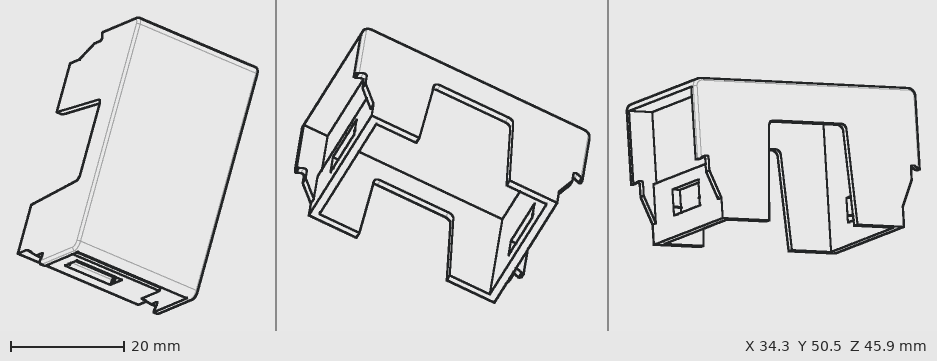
import cadquery as cq
import math

WIDTH = 24.75
LENGTH = 45.0
DEPTH = 25.15
SIDE_WALL = 1.2
END_WALL = 1.5
INNER_WIDTH = WIDTH - 2 * SIDE_WALL

TILT_ABOUT_Y = 33.0
TILT_ABOUT_X = 20.0

CAP_THICKNESS = 1.75
CAP_END_RADIUS = 1.5
CAP_OVERHANG_THICKNESS = CAP_END_RADIUS
SIDE_EDGE_RADIUS = 0.5

LEG_HALF_LENGTH = 18.4
SHOULDER_HALF_LENGTH = 20.5
WING_Z = -14.6
HOOK_TIP_LENGTH = 0.4
NOTCH_TOP_Z = -13.65
NOTCH_RADIUS = 0.45
SHOULDER_Z = -16.7
TAPER_END_Z = -21.55

CUTOUT_TOP_Z = -7.15
CUTOUT_HALF_TOP = 7.8
CUTOUT_HALF_BOTTOM = 8.95
CUTOUT_RADIUS = 1.1

END_OUTER_Y = LEG_HALF_LENGTH
END_INNER_Y = LEG_HALF_LENGTH - END_WALL
LEDGE_Z = -14.5
LEDGE_DEPTH = 0.6

WINDOW_WIDTH = 9.3
WINDOW_TOP_Z = -16.75
WINDOW_BOTTOM_Z = -21.4
SILL_DEPTH = 0.9
SILL_RISE = SILL_DEPTH * math.tan(math.radians(15.0))
RIB_Z = -19.95
RIB_HEIGHT = 0.3
RIB_RISE = RIB_HEIGHT * math.tan(math.radians(30.0))

PICK_MARGIN = 0.05


def box(x_size, y_range, z_range):
    """Box centred on x = 0, spanning the given y and z ranges."""
    y_low, y_high = y_range
    z_low, z_high = z_range
    return (
        cq.Workplane("XY")
        .box(x_size, y_high - y_low, z_high - z_low, centered=(True, False, False))
        .translate((0, y_low, z_low))
    )


def extrude_across(points, width):
    """Closed outline of (y, z) points, extruded symmetrically across the width."""
    return cq.Workplane("YZ").polyline(points).close().extrude(width / 2, both=True)


def mirrored(half):
    """Outline made of the given points on the +y side and their reflections."""
    return half + [(-y, z) for y, z in reversed(half)]


def make_outer_block():
    """Solid with the side wall outline and rounded cap edges."""
    half_outline = [
        (LENGTH / 2, 0),
        (LENGTH / 2, WING_Z),
        (LENGTH / 2 - HOOK_TIP_LENGTH, WING_Z),
        (SHOULDER_HALF_LENGTH, NOTCH_TOP_Z),
        (SHOULDER_HALF_LENGTH, SHOULDER_Z),
        (LEG_HALF_LENGTH, TAPER_END_Z),
        (LEG_HALF_LENGTH, -DEPTH),
    ]
    notch_corners = cq.selectors.BoxSelector(
        (-WIDTH, -SHOULDER_HALF_LENGTH - PICK_MARGIN, NOTCH_TOP_Z - PICK_MARGIN),
        (WIDTH, SHOULDER_HALF_LENGTH + PICK_MARGIN, NOTCH_TOP_Z + PICK_MARGIN),
    )
    outline = extrude_across(mirrored(half_outline), WIDTH).edges(notch_corners).fillet(NOTCH_RADIUS)
    rounded = (
        box(WIDTH, (-LENGTH / 2, LENGTH / 2), (-2 * DEPTH, 0))
        .edges("|X and >Z")
        .fillet(CAP_END_RADIUS)
        .faces(">X or <X")
        .edges("not <Z")
        .fillet(SIDE_EDGE_RADIUS)
    )
    return outline.intersect(rounded)


def make_inside():
    """Space between the walls, open at the bottom."""
    return box(INNER_WIDTH, (-END_INNER_Y, END_INNER_Y), (-DEPTH, -CAP_THICKNESS))


def make_end_space():
    """Space outside the +y end wall, between the side walls and below the cap overhang."""
    lower = box(INNER_WIDTH, (END_OUTER_Y, LENGTH), (-DEPTH, LEDGE_Z))
    upper = box(INNER_WIDTH, (END_OUTER_Y - LEDGE_DEPTH, LENGTH), (LEDGE_Z, -CAP_OVERHANG_THICKNESS))
    return lower.union(upper)


def make_window():
    """Opening through the +y end wall, leaving the sloping sill and the side ribs."""
    outline = [
        (END_INNER_Y, WINDOW_TOP_Z),
        (END_OUTER_Y, WINDOW_TOP_Z),
        (END_OUTER_Y, WINDOW_BOTTOM_Z),
        (END_OUTER_Y - SILL_DEPTH, WINDOW_BOTTOM_Z + SILL_RISE),
        (END_INNER_Y, WINDOW_BOTTOM_Z + SILL_RISE),
    ]
    rib_outline = [
        (WINDOW_WIDTH / 2, RIB_Z),
        (WINDOW_WIDTH / 2 - RIB_HEIGHT, RIB_Z),
        (WINDOW_WIDTH / 2, RIB_Z + RIB_RISE),
    ]
    rib = cq.Workplane("XZ", origin=(0, END_OUTER_Y, 0)).polyline(rib_outline).close().extrude(END_WALL)
    return extrude_across(outline, WINDOW_WIDTH).cut(rib).cut(rib.mirror("YZ"))


def make_cutout():
    """Tapered opening through both side walls, with rounded upper corners."""
    outline = mirrored([(CUTOUT_HALF_TOP, CUTOUT_TOP_Z), (CUTOUT_HALF_BOTTOM, -DEPTH)])
    return extrude_across(outline, WIDTH).edges("|X and >Z").fillet(CUTOUT_RADIUS)


cover = make_outer_block().cut(make_inside()).cut(make_cutout())
for end_feature in (make_end_space(), make_window()):
    cover = cover.cut(end_feature).cut(end_feature.mirror("XZ"))

result = cover.rotate((0, 0, 0), (0, 1, 0), TILT_ABOUT_Y).rotate((0, 0, 0), (1, 0, 0), TILT_ABOUT_X)